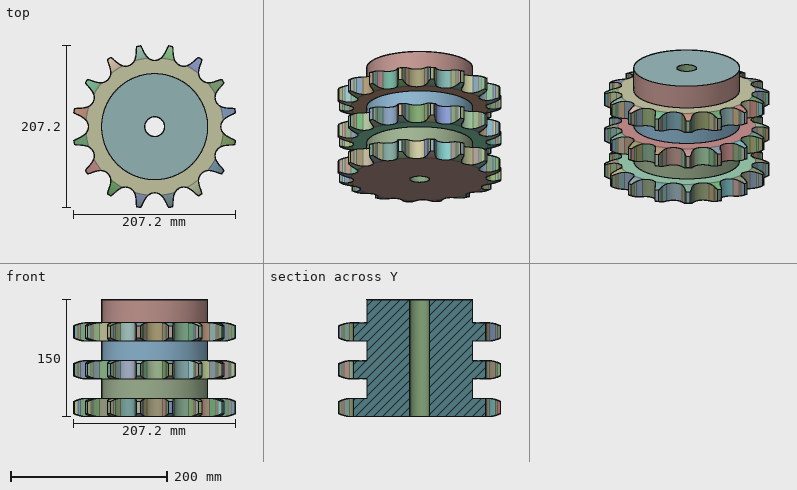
import cadquery as cq
import math


TOOTH_COUNT = 16
CHAIN_PITCH = 38.1
ROLLER_DIAMETER = 25.5
TIP_DIAMETER = 210.3
STRAND_COUNT = 3
TOOTH_WIDTH = 23.6
FLAT_FACE_RADIUS = 88.0
SIDE_RELIEF_RADIUS = CHAIN_PITCH
HUB_DIAMETER = 136.0
HUB_HEIGHT = 150.0
HUB_PROJECTION = 29.6
BORE_DIAMETER = 25.0

TIP_RADIUS = TIP_DIAMETER / 2

RIM_ALLOWANCE = 0.2

STRAND_SPACING = (HUB_HEIGHT - HUB_PROJECTION - TOOTH_WIDTH) / (STRAND_COUNT - 1)

HALF_TOOTH_ANGLE = math.pi / TOOTH_COUNT
PITCH_RADIUS = CHAIN_PITCH / (2 * math.sin(HALF_TOOTH_ANGLE))
SEAT_RADIUS = 0.5025 * ROLLER_DIAMETER
WORKING_CENTRE_OFFSET = 0.8 * ROLLER_DIAMETER
WORKING_RADIUS = SEAT_RADIUS + WORKING_CENTRE_OFFSET
SEAT_HALF_ANGLE = math.radians(55 - 60 / TOOTH_COUNT)
WORKING_ANGLE = math.radians(18 - 56 / TOOTH_COUNT)
TOPPING_ANGLE = math.radians(17 - 64 / TOOTH_COUNT)
FLANK_LENGTH = ROLLER_DIAMETER * (1.4 * math.sin(TOPPING_ANGLE) - 0.8 * math.sin(WORKING_ANGLE))
TOPPING_RADIUS = ROLLER_DIAMETER * (
    0.8 * math.cos(WORKING_ANGLE) + 1.4 * math.cos(TOPPING_ANGLE) - 1.3025
)


def polar_point(centre, radius, angle):
    """Point at an angle counterclockwise from +X about a centre."""
    return (centre[0] + radius * math.cos(angle), centre[1] + radius * math.sin(angle))


def half_gap_points():
    """Points of the flank on the +X side of the gap centred on +Y, from root to tip."""
    downward = -math.pi / 2
    seat_end = downward + SEAT_HALF_ANGLE
    flank_normal = seat_end + WORKING_ANGLE
    seat_centre = (0, PITCH_RADIUS)
    working_centre = polar_point(seat_centre, -WORKING_CENTRE_OFFSET, seat_end)
    working_end = polar_point(working_centre, WORKING_RADIUS, flank_normal)
    flank_end = polar_point(working_end, FLANK_LENGTH, flank_normal + math.pi / 2)
    topping_centre = polar_point(flank_end, TOPPING_RADIUS, flank_normal)

    centre_distance = math.hypot(*topping_centre)
    centre_angle = math.atan2(topping_centre[1], topping_centre[0])
    tip_offset = math.acos(
        (TIP_RADIUS**2 + centre_distance**2 - TOPPING_RADIUS**2) / (2 * TIP_RADIUS * centre_distance)
    )
    tip = polar_point((0, 0), TIP_RADIUS, centre_angle + tip_offset)
    topping_start_angle = flank_normal + math.pi
    topping_end_angle = math.atan2(tip[1] - topping_centre[1], tip[0] - topping_centre[0])
    topping_middle_angle = (topping_start_angle + topping_end_angle) / 2

    return {
        "root": (0, PITCH_RADIUS - SEAT_RADIUS),
        "seat_end": polar_point(seat_centre, SEAT_RADIUS, seat_end),
        "working_middle": polar_point(working_centre, WORKING_RADIUS, seat_end + WORKING_ANGLE / 2),
        "working_end": working_end,
        "flank_end": flank_end,
        "topping_middle": polar_point(topping_centre, TOPPING_RADIUS, topping_middle_angle),
        "tip": tip,
    }


def tooth_outline():
    """Closed wire around all teeth, running clockwise from the gap centred on +Y."""
    right = half_gap_points()
    left = {name: (-x, y) for name, (x, y) in right.items()}

    def turned(point, gap_index):
        angle = math.atan2(point[1], point[0]) - 2 * HALF_TOOTH_ANGLE * gap_index
        return polar_point((0, 0), math.hypot(*point), angle)

    tooth_middle = polar_point((0, 0), TIP_RADIUS, math.pi / 2 - HALF_TOOTH_ANGLE)
    outline = cq.Workplane("XY").moveTo(*left["tip"])
    for gap in range(TOOTH_COUNT):
        outline = (
            outline
            .threePointArc(turned(left["topping_middle"], gap), turned(left["flank_end"], gap))
            .lineTo(*turned(left["working_end"], gap))
            .threePointArc(turned(left["working_middle"], gap), turned(left["seat_end"], gap))
            .threePointArc(turned(right["root"], gap), turned(right["seat_end"], gap))
            .threePointArc(turned(right["working_middle"], gap), turned(right["working_end"], gap))
            .lineTo(*turned(right["flank_end"], gap))
            .threePointArc(turned(right["topping_middle"], gap), turned(right["tip"], gap))
            .threePointArc(turned(tooth_middle, gap), turned(left["tip"], gap + 1))
        )
    return outline.close()


def relieved_disc():
    """Disc whose faces curve inward towards the tooth tips."""
    def relief_depth(radius):
        run = radius - FLAT_FACE_RADIUS
        return SIDE_RELIEF_RADIUS - math.sqrt(SIDE_RELIEF_RADIUS**2 - run**2)

    rim_radius = TIP_RADIUS + RIM_ALLOWANCE
    middle_radius = (FLAT_FACE_RADIUS + rim_radius) / 2
    rim_depth = relief_depth(rim_radius)
    middle_depth = relief_depth(middle_radius)
    return (
        cq.Workplane("XZ")
        .lineTo(FLAT_FACE_RADIUS, 0)
        .threePointArc((middle_radius, middle_depth), (rim_radius, rim_depth))
        .lineTo(rim_radius, TOOTH_WIDTH - rim_depth)
        .threePointArc((middle_radius, TOOTH_WIDTH - middle_depth), (FLAT_FACE_RADIUS, TOOTH_WIDTH))
        .lineTo(0, TOOTH_WIDTH)
        .close()
        .revolve(360, (0, 0), (0, 1))
    )


toothed_disc = tooth_outline().extrude(TOOTH_WIDTH).intersect(relieved_disc())
sprocket = cq.Workplane("XY").circle(HUB_DIAMETER / 2).extrude(HUB_HEIGHT)
for strand in range(STRAND_COUNT):
    sprocket = sprocket.union(toothed_disc.translate((0, 0, strand * STRAND_SPACING)))
bore = cq.Workplane("XY").circle(BORE_DIAMETER / 2).extrude(HUB_HEIGHT)
result = sprocket.cut(bore)